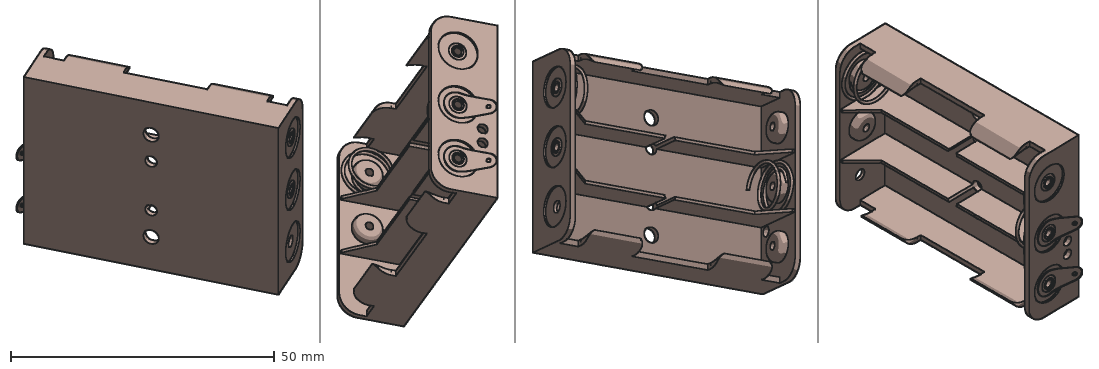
import cadquery as cq
import math

LENGTH = 51.55
HEIGHT = 38.0
DEPTH = 13.5
WALL = 1.2
FLOOR = 1.3
CORNER_RADIUS = 4.0
CELL_PITCH = 11.85
AXIS_Y = 8.0
DIVIDER_THICKNESS = 0.65
DIVIDER_TOP = 13.2
DIVIDER_FLAT = 0.45

CLIP_START = 5.25
CLIP_LENGTH = 12.05
CLIP_RADIUS = 3.8
CLIP_BORE_RADIUS = CELL_PITCH / 2
CLIP_BEND_Y = 8.95
CLIP_REACH = 2.55
CLIP_CORNER = 1.8

LARGE_HOLE_RADIUS = 1.55
LARGE_HOLE_Z = 11.65
SMALL_HOLE_RADIUS = 1.2
SMALL_HOLE_Z = 5.55
LEAD_HOLE_RADIUS = 1.0
LEAD_HOLE_Y = 3.05
LEAD_HOLE_SPACING = 3.1

SEAT_RADIUS = 4.0
SEAT_DEPTH = 0.45
SHANK_RADIUS = 1.2

BUTTON_RADIUS = 3.05
BUTTON_LENGTH = 1.65
BUTTON_ROUND = 1.0
BORE_RADIUS = 0.8
RIM_RADIUS = 1.75
RIM_THICKNESS = 0.2
RIM_ROUND = 0.135
MOUTH_RADIUS = 1.2
MOUTH_DEPTH = 0.15

WIRE_RADIUS = 0.3
WIRE_CLEARANCE = 0.025
SPRING_BASE_RADIUS = 4.9
SPRING_TIP_RADIUS = 4.45
SPRING_PITCH = 2.65
SPIRAL_TURNS = 0.5
BASE_TURNS = 0.5
RISING_TURNS = 1.5
END_TURNS = 0.5
POINTS_PER_TURN = 16

LUG_THICKNESS = 0.2
LUG_RADIUS = 2.8
LUG_TIP_RADIUS = 1.55
LUG_TIP_CENTRE = 5.6
LUG_HOLE_RADIUS = 0.4
LUG_HOLE_CENTRE = 5.7
LUG_BEND_START = 0.55
LUG_BEND_RADIUS = 6.65
LUG_BEND_ANGLE = math.radians(20.5)

HALF_LENGTH = LENGTH / 2
HALF_HEIGHT = HEIGHT / 2
INNER_HALF_LENGTH = HALF_LENGTH - WALL
INNER_HALF_HEIGHT = HALF_HEIGHT - WALL
WEB = WALL - SEAT_DEPTH
CELL_ZS = [CELL_PITCH, 0, -CELL_PITCH]
DIVIDER_ZS = [CELL_PITCH / 2, -CELL_PITCH / 2]
LUG_ZS = CELL_ZS[1:]


def block(x_range, y_range, z_range):
    corner = cq.Vector(x_range[0], y_range[0], z_range[0])
    return cq.Workplane(
        cq.Solid.makeBox(
            x_range[1] - x_range[0], y_range[1] - y_range[0], z_range[1] - z_range[0], corner
        )
    )


def rod(radius, start, direction, length):
    return cq.Workplane(cq.Solid.makeCylinder(radius, length, cq.Vector(*start), cq.Vector(*direction)))


def tray():
    body = block((-HALF_LENGTH, HALF_LENGTH), (0, DEPTH), (-HALF_HEIGHT, HALF_HEIGHT))
    body = body.faces(">Y").edges("|X").fillet(CORNER_RADIUS)
    inside = (-INNER_HALF_LENGTH, INNER_HALF_LENGTH)
    body = body.cut(block(inside, (FLOOR, DEPTH), (-INNER_HALF_HEIGHT, INNER_HALF_HEIGHT)))
    return body.cut(block(inside, (AXIS_Y, DEPTH), (-HALF_HEIGHT, HALF_HEIGHT)))


def divider(z):
    slope_start = INNER_HALF_LENGTH - DIVIDER_FLAT
    slope_end = slope_start - (DIVIDER_TOP - AXIS_Y)
    return (
        cq.Workplane("XY", origin=(0, 0, z - DIVIDER_THICKNESS / 2))
        .moveTo(-INNER_HALF_LENGTH, FLOOR)
        .lineTo(-INNER_HALF_LENGTH, DIVIDER_TOP)
        .lineTo(-slope_start, DIVIDER_TOP)
        .lineTo(-slope_end, AXIS_Y)
        .lineTo(slope_end, AXIS_Y)
        .lineTo(slope_start, DIVIDER_TOP)
        .lineTo(INNER_HALF_LENGTH, DIVIDER_TOP)
        .lineTo(INNER_HALF_LENGTH, FLOOR)
        .close()
        .extrude(DIVIDER_THICKNESS)
    )


def clip():
    """Clip at the -X, +Z corner: a wall extension that curls over the cell."""
    start = CLIP_START - HALF_LENGTH
    bend_z = HALF_HEIGHT - CLIP_RADIUS
    bore_z = INNER_HALF_HEIGHT - CLIP_BORE_RADIUS
    span = (start, start + CLIP_LENGTH)
    curl = rod(CLIP_RADIUS, (start, CLIP_BEND_Y, bend_z), (1, 0, 0), CLIP_LENGTH)
    root = block(span, (AXIS_Y, CLIP_BEND_Y), (INNER_HALF_HEIGHT, HALF_HEIGHT))
    reach = block(span, (CLIP_BEND_Y, DEPTH), (HALF_HEIGHT - CLIP_REACH, HALF_HEIGHT))
    reach = reach.faces("<Z").edges("|Y").fillet(CLIP_CORNER)
    bore = rod(CLIP_BORE_RADIUS, (start, CLIP_BEND_Y, bore_z), (1, 0, 0), CLIP_LENGTH)
    return curl.intersect(reach).cut(bore).union(root)


def make_housing():
    body = tray()
    for z in DIVIDER_ZS:
        body = body.union(divider(z))
    left_clip = clip()
    clip_pair = left_clip.union(left_clip.mirror("YZ"))
    body = body.union(clip_pair).union(clip_pair.mirror("XY"))
    for side in (1, -1):
        body = body.cut(rod(LARGE_HOLE_RADIUS, (0, 0, side * LARGE_HOLE_Z), (0, 1, 0), DEPTH))
        body = body.cut(rod(SMALL_HOLE_RADIUS, (0, 0, side * SMALL_HOLE_Z), (0, 1, 0), DEPTH))
        lead_z = DIVIDER_ZS[1] + side * LEAD_HOLE_SPACING / 2
        body = body.cut(rod(LEAD_HOLE_RADIUS, (-HALF_LENGTH, LEAD_HOLE_Y, lead_z), (1, 0, 0), WALL))
        for z in CELL_ZS:
            outer_face = (side * HALF_LENGTH, AXIS_Y, z)
            body = body.cut(rod(SEAT_RADIUS, outer_face, (-side, 0, 0), SEAT_DEPTH))
            body = body.cut(rod(SHANK_RADIUS, outer_face, (-side, 0, 0), WALL))
    return body


def button_contact(grip):
    """Hollow rivet about the X axis: a rounded button on the wall at X = 0 and a rim beyond the grip."""
    rim_back = -grip
    rim_end = rim_back - RIM_THICKNESS
    body = rod(BUTTON_RADIUS, (0, 0, 0), (1, 0, 0), BUTTON_LENGTH).faces(">X").edges().fillet(BUTTON_ROUND)
    rim = rod(RIM_RADIUS, (rim_end, 0, 0), (1, 0, 0), RIM_THICKNESS).faces("<X").edges().fillet(RIM_ROUND)
    body = body.union(rod(SHANK_RADIUS, (rim_back, 0, 0), (1, 0, 0), grip)).union(rim)
    body = body.cut(rod(BORE_RADIUS, (rim_end, 0, 0), (1, 0, 0), BUTTON_LENGTH - rim_end))
    mouth = cq.Solid.makeCone(
        MOUTH_RADIUS, BORE_RADIUS, MOUTH_DEPTH, cq.Vector(rim_end, 0, 0), cq.Vector(1, 0, 0)
    )
    return body.cut(cq.Workplane(mouth))


def spring_point(turn):
    """Point of the wire centre line, at a given count of turns from the button."""
    rise_start = SPIRAL_TURNS + BASE_TURNS
    total = rise_start + RISING_TURNS
    if turn < SPIRAL_TURNS:
        start_radius = BUTTON_RADIUS - WIRE_RADIUS
        radius = start_radius + (SPRING_BASE_RADIUS - start_radius) * turn / SPIRAL_TURNS
    else:
        radius = SPRING_BASE_RADIUS
    risen = max(0, turn - rise_start)
    radius += (SPRING_TIP_RADIUS - SPRING_BASE_RADIUS) * min(1, risen)
    angle = 2 * math.pi * (turn - total + END_TURNS)
    x = WIRE_RADIUS + WIRE_CLEARANCE + SPRING_PITCH * risen
    return (x, radius * math.cos(angle), radius * math.sin(angle))


def spring_contact(grip):
    """Button contact with a coil spring around the button, formed in one piece with it."""
    steps = round((SPIRAL_TURNS + BASE_TURNS + RISING_TURNS) * POINTS_PER_TURN)
    points = [cq.Vector(*spring_point(step / POINTS_PER_TURN)) for step in range(steps + 1)]
    path = cq.Workplane(cq.Wire.assembleEdges([cq.Edge.makeSpline(points)]))
    section = cq.Plane(origin=points[0].toTuple(), xDir=(1, 0, 0), normal=(points[1] - points[0]).toTuple())
    wire = cq.Workplane(section).circle(WIRE_RADIUS).sweep(path, isFrenet=False)
    return button_contact(grip).union(wire)


def lug():
    """Solder lug on a seat floor at X = 0: a washer with a tapering tail that bends outwards, to -X."""
    bend_centre_x = -LUG_THICKNESS - LUG_BEND_RADIUS
    tip_y = -(LUG_TIP_CENTRE + LUG_TIP_RADIUS)

    def bend_point(radius, angle):
        return (bend_centre_x + radius * math.cos(angle), -LUG_BEND_START - radius * math.sin(angle))

    def tail_point(radius):
        x, y = bend_point(radius, LUG_BEND_ANGLE)
        return (x - (y - tip_y) * math.tan(LUG_BEND_ANGLE), tip_y)

    wall_radius = LUG_BEND_RADIUS + LUG_THICKNESS
    half_angle = LUG_BEND_ANGLE / 2
    sheet = (
        cq.Workplane("XY", origin=(0, 0, -LUG_RADIUS))
        .moveTo(0, LUG_RADIUS)
        .lineTo(0, -LUG_BEND_START)
        .threePointArc(bend_point(wall_radius, half_angle), bend_point(wall_radius, LUG_BEND_ANGLE))
        .lineTo(*tail_point(wall_radius))
        .lineTo(*tail_point(LUG_BEND_RADIUS))
        .lineTo(*bend_point(LUG_BEND_RADIUS, LUG_BEND_ANGLE))
        .threePointArc(bend_point(LUG_BEND_RADIUS, half_angle), (-LUG_THICKNESS, -LUG_BEND_START))
        .lineTo(-LUG_THICKNESS, LUG_RADIUS)
        .close()
        .extrude(2 * LUG_RADIUS)
    )
    lean = (LUG_RADIUS - LUG_TIP_RADIUS) / LUG_TIP_CENTRE
    spread = math.sqrt(1 - lean**2)
    washer_tangent = (-LUG_RADIUS * lean, LUG_RADIUS * spread)
    tip_tangent = (-LUG_TIP_CENTRE - LUG_TIP_RADIUS * lean, LUG_TIP_RADIUS * spread)
    outline = (
        cq.Workplane("YZ")
        .moveTo(*washer_tangent)
        .lineTo(*tip_tangent)
        .threePointArc((tip_y, 0), (tip_tangent[0], -tip_tangent[1]))
        .lineTo(washer_tangent[0], -washer_tangent[1])
        .threePointArc((LUG_RADIUS, 0), washer_tangent)
        .close()
        .extrude(tip_y)
    )
    body = sheet.intersect(outline)
    body = body.cut(rod(SHANK_RADIUS, (0, 0, 0), (-1, 0, 0), -tip_y))
    body = body.cut(rod(RIM_RADIUS, (-LUG_THICKNESS, 0, 0), (-1, 0, 0), RIM_THICKNESS))
    return body.cut(rod(LUG_HOLE_RADIUS, (0, -LUG_HOLE_CENTRE, 0), (-1, 0, 0), -tip_y))


housing = make_housing()

lugs = [lug().translate((-INNER_HALF_LENGTH - WEB, AXIS_Y, z)) for z in LUG_ZS]

lug_grip = WEB + LUG_THICKNESS
left_contacts = [
    contact.translate((-INNER_HALF_LENGTH, AXIS_Y, z))
    for contact, z in zip([button_contact(WEB), spring_contact(lug_grip), button_contact(lug_grip)], CELL_ZS)
]
right_contacts = [
    contact.rotate((0, 0, 0), (0, 1, 0), 180).translate((INNER_HALF_LENGTH, AXIS_Y, z))
    for contact, z in zip([spring_contact(WEB), button_contact(WEB)], CELL_ZS)
]

bodies = [housing, *lugs, *left_contacts, *right_contacts]
result = cq.Compound.makeCompound([body.solids().val() for body in bodies])